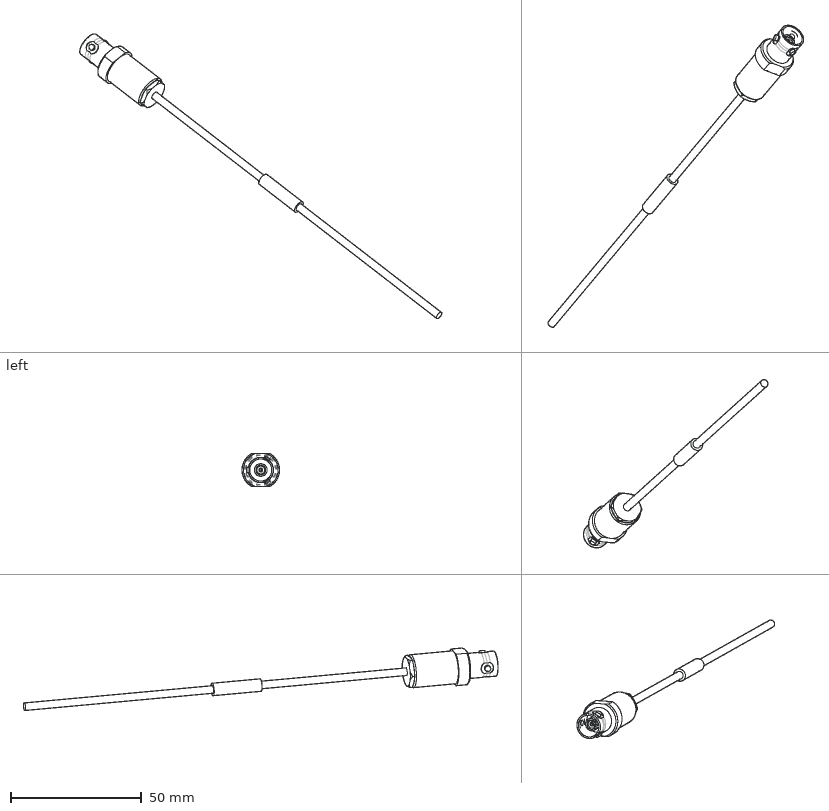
import cadquery as cq

total_length = 187.5

barrel_radius = 4.9
collar_start = 11.5
collar_end = 16.3
collar_diameter = 14.5
collar_chamfer = 0.5
shell_radius = 6.4
shell_end = 33.5
shell_chamfer = 0.5
barrel_wall = 0.65
bore_radius = barrel_radius - barrel_wall
bore_depth = 8.5

lug_count = 3
first_lug_angle = 30.0
groove_start = 3.0
groove_width = 2.5
groove_depth = 0.11
lug_position = groove_start + groove_width / 2
lug_radius = 1.1
lug_tip_radius = 5.5
lug_seat_radius = 2.5
lug_seat_depth = 0.53
lug_seat_height = barrel_radius - lug_seat_depth

insert_front = 2.8
insert_base = 1.9
insert_radius = 2.5
insert_bore_radius = 1.5
insert_bore_chamfer = 0.4
contact_radius = 0.8
contact_recess = 0.5
socket_radius = 0.4

nut_corner_radius = shell_radius
nut_end = 35.3
nut_chamfer = 0.8

cable_radius = 1.5
sleeve_start = 93.5
sleeve_length = 19.1
sleeve_radius = 2.5


def rod(start, end, radius):
    """Cylinder about the X axis."""
    return cq.Workplane("YZ").workplane(offset=start).circle(radius).extrude(end - start)


def tube(start, end, outer_radius, inner_radius):
    """Hollow cylinder about the X axis."""
    return rod(start, end, outer_radius).cut(rod(start, end, inner_radius))


def around_axis(shape, angle):
    """Turn a shape about the X axis, from +Z toward -Y."""
    return shape.rotate((0, 0, 0), (1, 0, 0), angle)


def make_collar():
    """Round collar with two flats, facing +Z and -Z."""
    length = collar_end - collar_start
    collar = rod(collar_start, collar_end, collar_diameter / 2).faces("<X").chamfer(collar_chamfer)
    flats = cq.Workplane("XY").box(length, collar_diameter, 2 * shell_radius)
    return collar.intersect(flats.translate((collar_start + length / 2, 0, 0)))


def make_groove():
    """Shallow V groove around the barrel, in line with the lugs."""
    return (
        cq.Workplane("XY")
        .moveTo(groove_start, barrel_radius)
        .lineTo(lug_position, barrel_radius - groove_depth)
        .lineTo(groove_start + groove_width, barrel_radius)
        .close()
        .revolve(360, (0, 0, 0), (1, 0, 0))
    )


def upright_cylinder(radius, bottom, top):
    """Cylinder along +Z at the lug position."""
    return (
        cq.Workplane("XY", origin=(lug_position, 0, bottom)).circle(radius).extrude(top - bottom)
    )


def make_lug():
    """Bayonet lug with a tip that is rounded about the connector axis."""
    lug = upright_cylinder(lug_radius, lug_seat_height, lug_tip_radius)
    return lug.intersect(rod(0, collar_start, lug_tip_radius))


def make_housing():
    """Barrel with three seated lugs, collar and chamfered shell, bored from the mouth."""
    housing = rod(0, collar_start, barrel_radius).cut(make_groove())
    lug_angles = [first_lug_angle + i * 360 / lug_count for i in range(lug_count)]
    for angle in lug_angles:
        seat = upright_cylinder(lug_seat_radius, lug_seat_height, lug_tip_radius)
        housing = housing.cut(around_axis(seat, angle))
        housing = housing.union(around_axis(make_lug(), angle))
    shell = rod(collar_start, shell_end, shell_radius).faces(">X").chamfer(shell_chamfer)
    housing = housing.union(shell).union(make_collar())
    return housing.cut(rod(0, bore_depth, bore_radius))


def make_insert():
    """Inner tube with a chamfered mouth and a socket contact standing in its middle."""
    base_front = bore_depth - insert_base
    contact_front = insert_front + contact_recess
    body = tube(insert_front, base_front, insert_radius, insert_bore_radius)
    inner_edge = cq.selectors.RadiusNthSelector(0)
    body = body.faces("<X").edges(inner_edge).chamfer(insert_bore_chamfer)
    body = body.union(rod(base_front, bore_depth, insert_radius))
    return body.union(tube(contact_front, base_front, contact_radius, socket_radius))


def make_nut():
    """Hexagon with flats facing +Z and -Z, its rear corners chamfered, bored for the cable."""
    hexagon = (
        cq.Workplane("YZ").workplane(offset=shell_end)
        .polygon(6, 2 * nut_corner_radius).extrude(nut_end - shell_end)
    )
    crown = rod(shell_end, nut_end, nut_corner_radius).faces(">X").chamfer(nut_chamfer)
    return hexagon.intersect(crown).cut(rod(shell_end, nut_end, cable_radius))


def make_cable():
    return rod(shell_end, total_length, cable_radius)


def make_sleeve():
    return tube(sleeve_start, sleeve_start + sleeve_length, sleeve_radius, cable_radius)


housing = make_housing()
insert = make_insert()
nut = make_nut()
cable = make_cable()
sleeve = make_sleeve()

result = cq.Compound.makeCompound(
    [housing.val(), insert.val(), nut.val(), cable.val(), sleeve.val()]
)